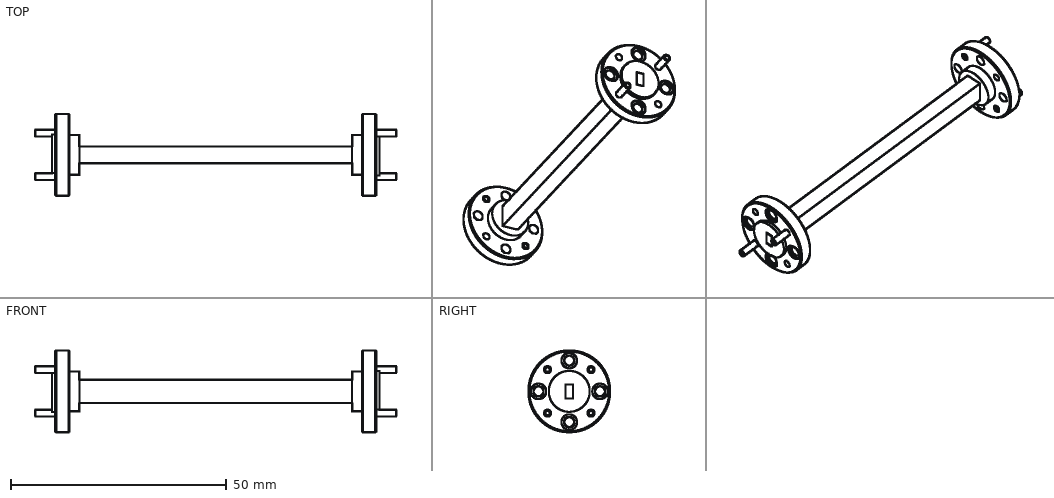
import cadquery as cq
import math

face_to_face = 76.2
overall_length = 83.95
pin_protrusion = (overall_length - face_to_face) / 2

flange_diameter = 19.05
flange_thickness = 3.3
flange_chamfer = 0.25
face_boss_diameter = 9.525
rear_boss_diameter = 9.3
face_boss_height = 0.8
rear_boss_height = 2.3

tube_width = 3.91
tube_height = 5.41

mouth_width = 1.7
mouth_height = 3.3
mouth_depth = 0.1

pitch_radius = 14.2875 / 2
screw_hole_diameter = 2.3
counterbore_diameter = 3.6
counterbore_depth = 0.5
pin_diameter = 1.6
pin_chamfer_length = 0.1
pin_chamfer_width = 0.25

flange_front = face_boss_height
flange_rear = flange_front + flange_thickness
rear_boss_end = flange_rear + rear_boss_height

screw_angles = [0, 90, 180, 270]
pin_angles = [135, 315]
open_hole_angles = [45, 225]


def polar_points(angles):
    """Points on the pitch circle, at angles from the sketch x direction."""
    return [
        (pitch_radius * math.cos(math.radians(a)), pitch_radius * math.sin(math.radians(a)))
        for a in angles
    ]


screw_points = polar_points(screw_angles)
pin_points = polar_points(pin_angles)
open_hole_points = polar_points(open_hole_angles)


def section_plane(depth):
    """YZ plane (sketch x = Y, sketch y = Z) at a depth behind the mating face at the -X end."""
    return cq.Workplane("YZ", origin=(depth - face_to_face / 2, 0, 0))


def at_both_ends(body):
    """The body at the -X end and its copy turned half a turn about Z."""
    return [body, body.rotate((0, 0, 0), (0, 0, 1), 180)]


def make_flange():
    """Flange at the -X end, with its bosses and holes."""
    disc = section_plane(flange_front).circle(flange_diameter / 2).extrude(flange_thickness)
    disc = disc.edges("%CIRCLE").chamfer(flange_chamfer)
    face_boss = section_plane(0).circle(face_boss_diameter / 2).extrude(flange_rear)
    rear_boss = section_plane(flange_rear).circle(rear_boss_diameter / 2).extrude(rear_boss_height)
    flange = disc.union(face_boss).union(rear_boss)

    screw_holes = (
        section_plane(flange_front).pushPoints(screw_points)
        .circle(screw_hole_diameter / 2).extrude(flange_thickness)
    )
    counterbores = (
        section_plane(flange_front).pushPoints(screw_points)
        .circle(counterbore_diameter / 2).extrude(counterbore_depth)
    )
    pin_holes = (
        section_plane(flange_front).pushPoints(pin_points + open_hole_points)
        .circle(pin_diameter / 2).extrude(flange_thickness)
    )
    mouth = section_plane(0).rect(mouth_width, mouth_height).extrude(mouth_depth)
    return flange.cut(screw_holes).cut(counterbores).cut(pin_holes).cut(mouth)


def make_waveguide():
    """Tube and both flanges as one body."""
    tube_length = face_to_face - 2 * rear_boss_end
    waveguide_body = cq.Workplane("XY").box(tube_length, tube_width, tube_height)
    for flange in at_both_ends(make_flange()):
        waveguide_body = waveguide_body.union(flange)
    return waveguide_body


def make_pin(point):
    """Alignment pin at the -X end, flush with the rear of the flange, both ends chamfered."""
    pin = (
        section_plane(-pin_protrusion).center(*point)
        .circle(pin_diameter / 2).extrude(pin_protrusion + flange_rear)
    )
    for end in ("<X", ">X"):
        pin = pin.faces(end).edges().chamfer(pin_chamfer_length, pin_chamfer_width)
    return pin


waveguide = make_waveguide()
pins = [pin for point in pin_points for pin in at_both_ends(make_pin(point))]

result = cq.Compound.makeCompound([waveguide.val(), *[pin.val() for pin in pins]])